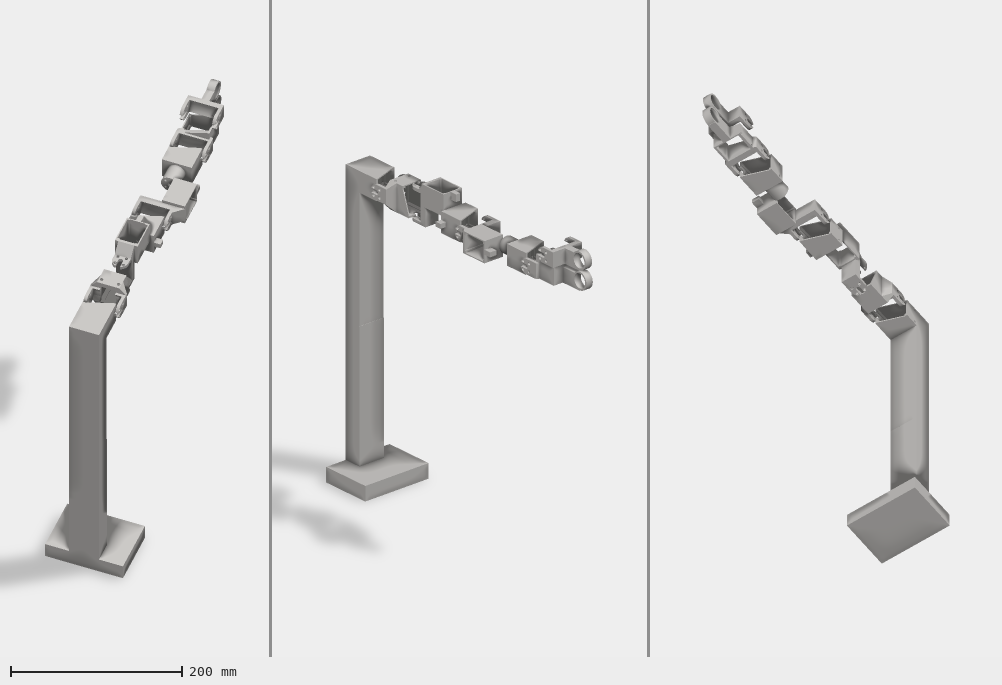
import cadquery as cq


BASE_LENGTH_X = 97.5
BASE_LENGTH_Y = 70.0
BASE_HEIGHT = 20.0
COLUMN_DEPTH = 24.5
COLUMN_SPLIT_Z = 200.0
ARM_TOP_Z = 400.0

HOLDER_WIDTH = 37.5
HOLDER_THICKNESS = 28.0
SHORT_WALL = 3.5
LONG_WALL = 2.5
COVER = 1.5
SHORT_WALL_END = -16.5
LONG_WALL_END = -5.5
POCKET_BACK = -35.8
HOLDER_BACK = -39.0
RELIEF_WIDTH = 19.5
RELIEF_BACK = -30.5
NOTCH_WIDTH = 6.0
NOTCH_END = -11.5
GROOVE_WIDTH = 14.5
GROOVE_DEPTH = 1.0
SCREW_Y = -33.2
SCREW_SPACING = 21.5

SCREW_HEAD_DIAMETER = 4.0
SCREW_DIAMETER = 3.0
SCREW_HEAD_DEPTH = 1.5

BRACKET_INNER = 36.5
FINGER = 4.0
BRACKET_HEIGHT = 20.0
SLOT_WIDTH = 6.0
HORN_SPACING = 10.5
WEB_RELIEF_RADIUS = 15.0
BRACKET_SHIFT = 1.0

SHOULDER_GUSSET_LENGTH = 12.0
SHOULDER_GUSSET_TIP = 3.0
TUNNEL_WIDTH = 19.5
TUNNEL_HEIGHT = 25.5

FRAME_LENGTH = 38.8
FRAME_WIDTH = 28.5
FRAME_SIDE = 1.5
FRAME_FRONT = 2.5
FRAME_BACK = 4.5
FRAME_OFFSET = 20.0
WEB_OVERLAP = 1.5
RECESS_WIDTH = 19.5
RECESS_DEPTH = 1.3
STOP_LENGTH = 10.0
STOP_WIDTH = 6.5
GUSSET_END = 7.2

FLANGE_DIAMETER = 22.0
FLANGE_BORE = 6.0
FLANGE_HOLE_DIAMETER = 3.0
FLANGE_HOLE_DEPTH = 3.5
TAB_LENGTH = 8.5

RING_OUTER = 24.0
RING_INNER = 19.0
GRIP_WIDTH = 10.0
UPPER_WEB_BACK = 18.0
RIB_THICKNESS = 3.5
SHOULDER_RAMP = 2.0

SHOULDER_Y = 60.0
SWING_Y = 113.7
SWING_FRAME_Y = 131.5
ELBOW_Y = 211.0
ELBOW_FRAME_Y = 229.0
WRIST_Y = 329.3
GRIP_Y = 361.0
GRIP_Z = 411.5
LOWER_RING_Y = 405.0
LOWER_RING_Z = 388.5
UPPER_RING_Y = 404.0

TOTAL_HEIGHT = 426.0
HALF_WIDTH = HOLDER_WIDTH / 2
HALF_THICKNESS = HOLDER_THICKNESS / 2
HALF_BRACKET = BRACKET_INNER / 2 + FINGER
HALF_HEIGHT = BRACKET_HEIGHT / 2
HALF_FRAME = FRAME_WIDTH / 2
ARM_Z = ARM_TOP_Z - HALF_THICKNESS

SHOULDER_X = BRACKET_SHIFT
ELBOW_X = 2 * BRACKET_SHIFT
WRIST_X = 3 * BRACKET_SHIFT
GRIP_X = 4 * BRACKET_SHIFT

SWING_BRACKET_Z = ARM_Z - (HOLDER_WIDTH - BRACKET_INNER) / 2

X_AXIS = (1, 0, 0)
Z_AXIS = (0, 0, 1)
MINUS_X = (-1, 0, 0)
MINUS_Y = (0, -1, 0)
MINUS_Z = (0, 0, -1)


def block(x0, x1, y0, y1, z0, z1):
    """Box between two opposite corners."""
    return cq.Workplane("XY").box(x1 - x0, y1 - y0, z1 - z0, centered=False).translate((x0, y0, z0))


def prism(points, half_height):
    """Closed XY outline extruded evenly to both sides of z = 0."""
    return cq.Workplane("XY").polyline(points).close().extrude(half_height, both=True)


def rod(diameter, x0, x1, centers):
    """Cylinders along x at the given (y, z) centers."""
    plane = cq.Workplane("YZ", origin=(x0, 0, 0))
    return plane.pushPoints(centers).circle(diameter / 2).extrude(x1 - x0)


def square_pattern(spacing):
    """Corners of a centered square."""
    half = spacing / 2
    return [(a * half, b * half) for a in (-1, 1) for b in (-1, 1)]


def place(body, origin, x_dir=X_AXIS, z_dir=Z_AXIS):
    """Move a body from its pivot frame to a joint of the arm."""
    plane = cq.Plane(origin=origin, xDir=x_dir, normal=z_dir)
    return cq.Workplane(body.val().moved(cq.Location(plane)))


def holder_outline(back):
    """Side outline: short wall, slanted front and long wall."""
    return [
        (-HALF_WIDTH, back),
        (HALF_WIDTH, back),
        (HALF_WIDTH, LONG_WALL_END),
        (HALF_WIDTH - LONG_WALL, LONG_WALL_END),
        (-HALF_WIDTH + SHORT_WALL, SHORT_WALL_END),
        (-HALF_WIDTH, SHORT_WALL_END),
    ]


def holder_pocket(back):
    """Servo space between the two walls and the two covers."""
    half_t = HALF_THICKNESS - COVER
    return block(-HALF_WIDTH + SHORT_WALL, HALF_WIDTH - LONG_WALL, back, 0, -half_t, half_t)


def holder(back=HOLDER_BACK):
    """Servo box that opens towards the pivot."""
    body = prism(holder_outline(back), HALF_THICKNESS).cut(holder_pocket(POCKET_BACK))

    half_relief = RELIEF_WIDTH / 2
    body = body.cut(block(-HALF_WIDTH + COVER, 0, RELIEF_BACK, 0, -half_relief, half_relief))

    half_notch = NOTCH_WIDTH / 2
    half_groove = GROOVE_WIDTH / 2
    groove_floor = HALF_WIDTH - LONG_WALL + GROOVE_DEPTH
    body = body.cut(block(0, HALF_WIDTH, NOTCH_END, 0, -half_notch, half_notch))
    body = body.cut(block(0, groove_floor, RELIEF_BACK, 0, -half_groove, half_groove))

    centers = [(SCREW_Y, side * SCREW_SPACING / 2) for side in (-1, 1)]
    body = body.cut(rod(SCREW_DIAMETER, -HALF_WIDTH, -HALF_WIDTH + SHORT_WALL, centers))
    return body.cut(rod(SCREW_HEAD_DIAMETER, -HALF_WIDTH, -HALF_WIDTH + SCREW_HEAD_DEPTH, centers))


def web_relief():
    """Round clearance for the swinging holder."""
    half = BRACKET_INNER / 2
    return rod(2 * WEB_RELIEF_RADIUS, -half, half, [(0, 0)])


def bracket(back):
    """U shape with round finger tips; each tip has an open slot and four horn holes."""
    body = (
        cq.Workplane("YZ")
        .moveTo(back, -HALF_HEIGHT)
        .lineTo(0, -HALF_HEIGHT)
        .threePointArc((-HALF_HEIGHT, 0), (0, HALF_HEIGHT))
        .lineTo(back, HALF_HEIGHT)
        .close()
        .extrude(HALF_BRACKET, both=True)
        .cut(web_relief())
    )
    half_slot = SLOT_WIDTH / 2
    slot = block(-HALF_BRACKET, HALF_BRACKET, -HALF_HEIGHT, 0, -half_slot, half_slot)
    slot = slot.union(rod(SLOT_WIDTH, -HALF_BRACKET, HALF_BRACKET, [(0, 0)]))
    centers = square_pattern(HORN_SPACING)
    body = body.cut(slot).cut(rod(SCREW_DIAMETER, -HALF_BRACKET, HALF_BRACKET, centers))
    body = body.cut(rod(SCREW_HEAD_DIAMETER, -HALF_BRACKET, -HALF_BRACKET + SCREW_HEAD_DEPTH, centers))
    return body.cut(rod(SCREW_HEAD_DIAMETER, HALF_BRACKET - SCREW_HEAD_DEPTH, HALF_BRACKET, centers))


def roll_link(frame_start):
    """Bracket with a servo frame on its +x side; the frame is open along x."""
    frame_end = frame_start + FRAME_LENGTH
    near = FRAME_OFFSET - HALF_FRAME
    far = FRAME_OFFSET + HALF_FRAME
    gusset = prism(
        [
            (near, frame_start),
            (HALF_BRACKET - FINGER, GUSSET_END + FINGER),
            (HALF_BRACKET, GUSSET_END),
            (far, frame_start),
        ],
        HALF_HEIGHT,
    ).cut(web_relief())

    inner = HALF_FRAME - FRAME_SIDE
    opening_start = frame_start + FRAME_BACK
    opening_end = frame_end - FRAME_FRONT
    frame = block(near, far, frame_start, frame_end, -HALF_FRAME, HALF_FRAME)
    opening = block(near, far, opening_start, opening_end, -inner, inner)
    half_recess = RECESS_WIDTH / 2
    recess_start = opening_start - RECESS_DEPTH
    recess_end = opening_end + RECESS_DEPTH
    recesses = block(near, far, recess_start, recess_end, -half_recess, half_recess)

    half_stop = STOP_WIDTH / 2
    stop = block(far - STOP_LENGTH, far, frame_end, frame_end + STOP_LENGTH, -half_stop, half_stop)
    body = bracket(frame_start + WEB_OVERLAP).union(gusset).union(frame)
    return body.cut(opening).cut(recesses).union(stop)


def flanged_holder(length):
    """Holder with a round roll flange on its back."""
    end = HOLDER_BACK - length
    disc = cq.Workplane("XZ", origin=(0, HOLDER_BACK, 0)).circle(FLANGE_DIAMETER / 2).extrude(length)
    depth = min(FLANGE_HOLE_DEPTH, length)
    face = cq.Workplane("XZ", origin=(0, end + depth, 0))
    bore = face.circle(FLANGE_BORE / 2).extrude(depth)
    holes = face.pushPoints(square_pattern(HORN_SPACING)).circle(FLANGE_HOLE_DIAMETER / 2).extrude(depth)
    return holder().union(disc.cut(bore).cut(holes))


def make_base():
    """Foot plate with the lower half of the column."""
    half_base = BASE_LENGTH_X / 2
    plate = block(-half_base, half_base, 0, BASE_LENGTH_Y, 0, BASE_HEIGHT)
    return plate.union(block(-HALF_WIDTH, HALF_WIDTH, 0, COLUMN_DEPTH, 0, COLUMN_SPLIT_Z))


def make_upper_column():
    """Upper half of the column, ending in the shoulder servo holder."""
    post = block(-HALF_WIDTH, HALF_WIDTH, 0, SHOULDER_Y + POCKET_BACK, COLUMN_SPLIT_Z, ARM_TOP_Z)
    return place(holder(), (0, SHOULDER_Y, ARM_Z)).union(post)


def make_shoulder_link():
    """Shoulder bracket joined by tapered gussets to a holder with an upright shaft."""
    joint_y = SWING_Y + HOLDER_BACK
    body = place(bracket(joint_y - SHOULDER_Y), (SHOULDER_X, SHOULDER_Y, ARM_Z))
    body = body.union(place(holder(), (SHOULDER_X, SWING_Y, ARM_Z), MINUS_Z, X_AXIS))
    tip_shift = (SHOULDER_GUSSET_TIP - SHOULDER_GUSSET_LENGTH) / 2
    for side in (-1, 1):
        gusset = (
            cq.Workplane("YZ", origin=(SHOULDER_X + side * HALF_THICKNESS, 0, ARM_Z))
            .center(joint_y + SHOULDER_GUSSET_LENGTH / 2, 0)
            .rect(SHOULDER_GUSSET_LENGTH, HOLDER_WIDTH)
            .workplane(offset=side * (HALF_BRACKET - HALF_THICKNESS))
            .center(tip_shift, 0)
            .rect(SHOULDER_GUSSET_TIP, BRACKET_HEIGHT)
            .loft(ruled=True)
        )
        body = body.union(gusset)
    half_x = TUNNEL_WIDTH / 2
    half_z = TUNNEL_HEIGHT / 2
    tunnel = block(-half_x, half_x, SHOULDER_Y, SWING_Y + POCKET_BACK, -half_z, half_z)
    return body.cut(tunnel.translate((SHOULDER_X, 0, ARM_Z)))


def make_swing_link():
    """Upright-shaft bracket with its roll servo frame above the arm line."""
    link = roll_link(SWING_FRAME_Y - SWING_Y)
    return place(link, (SHOULDER_X, SWING_Y, SWING_BRACKET_Z), Z_AXIS, MINUS_X)


def make_forearm_holder():
    """Elbow holder on a thin roll flange, with a stop tab on its long side."""
    flange_length = ELBOW_Y + HOLDER_BACK - (SWING_FRAME_Y + FRAME_LENGTH)
    half_tab = STOP_WIDTH / 2
    tab = block(
        HALF_WIDTH, HALF_WIDTH + TAB_LENGTH, HOLDER_BACK, HOLDER_BACK + TAB_LENGTH, -half_tab, half_tab
    )
    return place(flanged_holder(flange_length).union(tab), (SHOULDER_X, ELBOW_Y, ARM_Z))


def make_elbow_link():
    """Elbow bracket with its roll servo frame beside the arm line."""
    return place(roll_link(ELBOW_FRAME_Y - ELBOW_Y), (ELBOW_X, ELBOW_Y, ARM_Z))


def make_wrist_holder():
    """Wrist holder on a long roll flange."""
    flange_length = WRIST_Y + HOLDER_BACK - (ELBOW_FRAME_Y + FRAME_LENGTH)
    return place(flanged_holder(flange_length), (ELBOW_X, WRIST_Y, ARM_Z))


def ringed(body, arm_start, arm_z, ring_y, ring_z):
    """Add a flat arm that ends in a ring."""
    x0 = WRIST_X - GRIP_WIDTH / 2
    x1 = WRIST_X + GRIP_WIDTH / 2
    arm = block(x0, x1, arm_start, ring_y, arm_z - HALF_HEIGHT, arm_z + HALF_HEIGHT)
    ring = rod(RING_OUTER, x0, x1, [(ring_y, ring_z)])
    return body.union(arm).union(ring).cut(rod(RING_INNER, x0, x1, [(ring_y, ring_z)]))


def make_upper_gripper():
    """Moving gripper: bracket, arm and ring."""
    body = place(bracket(UPPER_WEB_BACK), (GRIP_X, GRIP_Y, GRIP_Z))
    ring_z = TOTAL_HEIGHT - RING_OUTER / 2
    return ringed(body, GRIP_Y + UPPER_WEB_BACK, GRIP_Z, UPPER_RING_Y, ring_z)


def make_lower_gripper(upper_gripper):
    """Wrist bracket, upward servo holder open at the bottom, arm and ring."""
    floor = ARM_Z - HALF_HEIGHT - GRIP_Z
    roof = floor + BRACKET_HEIGHT

    rib = (
        cq.Workplane("XY", origin=(0, 0, HALF_THICKNESS))
        .polyline(holder_outline(roof - RIB_THICKNESS))
        .close()
        .extrude(RIB_THICKNESS)
    )
    ramp = (
        cq.Workplane("XZ", origin=(0, floor, 0))
        .polyline([
            (-HALF_WIDTH, HALF_THICKNESS - SHOULDER_RAMP),
            (HALF_WIDTH, HALF_THICKNESS - SHOULDER_RAMP),
            (HALF_BRACKET, HALF_THICKNESS),
            (-HALF_BRACKET, HALF_THICKNESS),
        ])
        .close()
        .extrude(-BRACKET_HEIGHT)
    )
    servo_box = holder(floor).union(rib).union(ramp).cut(holder_pocket(floor))

    body = place(bracket(GRIP_Y - HALF_THICKNESS - WRIST_Y), (WRIST_X, WRIST_Y, ARM_Z))
    body = body.union(place(servo_box, (WRIST_X, GRIP_Y, GRIP_Z), X_AXIS, MINUS_Y))
    body = ringed(body, GRIP_Y + HALF_THICKNESS, ARM_Z, LOWER_RING_Y, LOWER_RING_Z)
    return body.cut(upper_gripper)


base = make_base()
upper_column = make_upper_column()
shoulder_link = make_shoulder_link()
swing_link = make_swing_link()
forearm_holder = make_forearm_holder()
elbow_link = make_elbow_link()
wrist_holder = make_wrist_holder()
upper_gripper = make_upper_gripper()
lower_gripper = make_lower_gripper(upper_gripper)

result = cq.Compound.makeCompound([
    base.val(),
    upper_column.val(),
    shoulder_link.val(),
    swing_link.val(),
    forearm_holder.val(),
    elbow_link.val(),
    wrist_holder.val(),
    upper_gripper.val(),
    lower_gripper.val(),
])